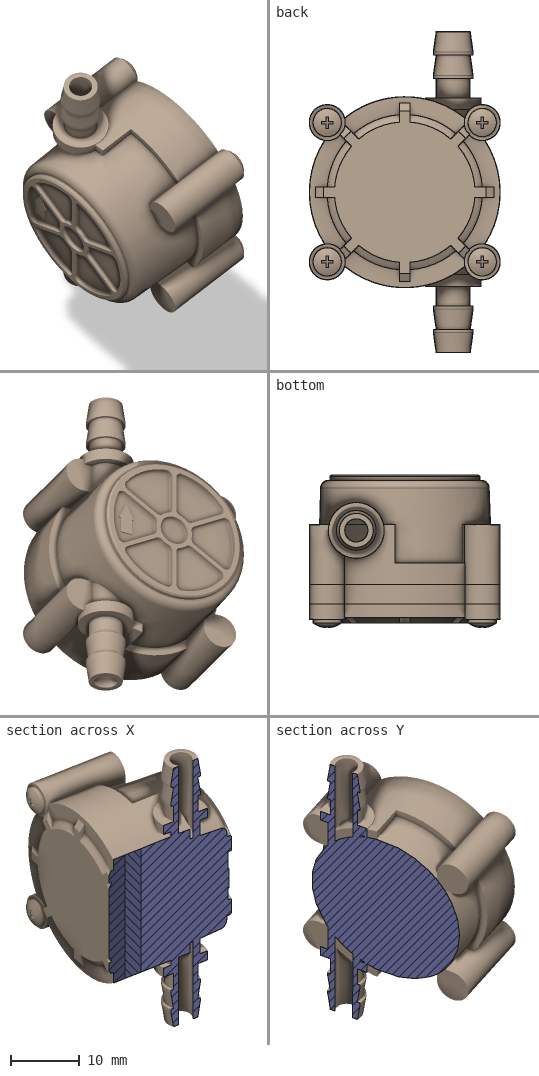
import cadquery as cq
import math


outer_width = 27.75
flange_radius = outer_width / 2
lug_radius = 2.6
lug_x = flange_radius - lug_radius
lug_z = 10.1
lug_inner_x = lug_x - lug_radius
lug_inner_z = lug_z - lug_radius

plate_back = 2.85
cover_back = 4.85
ear_back = 5.1
crown_back = 5.65
flange_front = -3.08
lug_front = -8.65
shell_front = -15.1
boss_front = -15.9

shell_rear_radius = 12.7
shell_front_radius = 12.2
shell_edge_fillet = 1.15
web_fillet = 0.15
boss_radius = 10.9
boss_chamfer = 0.25

pocket_depth = 0.65
pocket_floor_fillet = 0.3
pocket_corner = 0.85
sector_count = 6
sector_inner_radius = 2.9
sector_outer_radius = 9.95
spoke_half_width = 0.33
hub_pocket_radius = 2.25

arrow_x = -7.6
arrow_tip_z = 2.45
arrow_neck_z = 0.15
arrow_tail_z = -2.3
arrow_head_half = 1.2
arrow_shaft_half = 0.9
arrow_height = 0.2

port_x = -7.05
port_y = -7.85
port_root_radius = 2.85
port_root_z = 4.65
collar_radius = 4.05
collar_inner_z = 12.0
collar_outer_z = 13.7
neck_radius = 2.45
barb_radius = 2.9
barb_land = 0.45
barb_pitch = 3.4
port_tip_z = 23.3
barb_start_z = port_tip_z - 2 * barb_pitch
bore_radius = 1.7
shoulder_edge_x = -1.45

crown_base_radius = 11.3
crown_top_radius = 10.2
rib_base_radius = 12.95
rib_top_radius = 11.8
rib_width = 1.5
rib_count = 8

head_radius = 2.05
head_rim_height = 0.5
head_top = 6.3
cross_length = 1.7
cross_width = 0.35
cross_depth = 0.45

lug_centers = [(sx * lug_x, sz * lug_z) for sx in (-1, 1) for sz in (-1, 1)]


def disc(radius, y_front, y_back):
    """Plain cylinder about the pump axis."""
    return cq.Workplane("XZ", origin=(0, y_back, 0)).circle(radius).extrude(y_back - y_front)


def lug_cylinders(y_front, y_back):
    """The four round screw lugs between two levels."""
    start = cq.Workplane("XZ", origin=(0, y_back, 0))
    return start.pushPoints(lug_centers).circle(lug_radius).extrude(y_back - y_front)


def box_between(x_range, y_range, z_range):
    """Axis-aligned box from its limits."""
    sizes = [high - low for low, high in (x_range, y_range, z_range)]
    corner = (x_range[0], y_range[0], z_range[0])
    return cq.Workplane("XY").box(*sizes, centered=False).translate(corner)


def cone_disc(base_radius, top_radius):
    """Cone frustum of the cover crown, from the cover back to the crown back."""
    profile = [(0, cover_back), (base_radius, cover_back), (top_radius, crown_back), (0, crown_back)]
    return cq.Workplane("XY").polyline(profile).close().revolve(360, (0, 0), (0, 1))


def make_shell():
    """Tapered round shell with a rounded front edge and the front boss."""
    profile = [
        (0, 0),
        (shell_rear_radius, 0),
        (shell_rear_radius, flange_front),
        (shell_front_radius, shell_front),
        (0, shell_front),
    ]
    shell = cq.Workplane("XY").polyline(profile).close().revolve(360, (0, 0), (0, 1))
    shell = shell.faces("<Y").edges().fillet(shell_edge_fillet)
    boss = disc(boss_radius, boss_front, shell_front)
    boss = boss.faces("<Y").edges().chamfer(boss_chamfer)
    return shell.union(boss)


def make_lug_webs():
    """Square webs that join each lug to the shell along the length of the lug."""
    webs = cq.Workplane("XY")
    for x, z in lug_centers:
        x_range = sorted((x, x - math.copysign(lug_radius, x)))
        z_range = sorted((z, z - math.copysign(lug_radius, z)))
        webs = webs.union(box_between(x_range, (lug_front, 0), z_range))
    return webs


def make_port_shoulders():
    """Parts of the flange rim that run forward beside the two ports."""
    z_ranges = [(lug_inner_z, flange_radius), (-flange_radius, -lug_inner_z)]
    rim = disc(flange_radius, lug_front, 0)
    blocks = cq.Workplane("XY")
    for z_range in z_ranges:
        blocks = blocks.union(box_between((-lug_x, shoulder_edge_x), (lug_front, 0), z_range))
    return rim.intersect(blocks)


def make_port():
    """Upper port: root, collar and a double hose barb."""
    profile = [
        (0, port_root_z),
        (port_root_radius, port_root_z),
        (port_root_radius, collar_inner_z),
        (collar_radius, collar_inner_z),
        (collar_radius, collar_outer_z),
        (neck_radius, collar_outer_z),
        (neck_radius, barb_start_z),
    ]
    for barb_z in (barb_start_z, barb_start_z + barb_pitch):
        profile += [
            (barb_radius, barb_z),
            (barb_radius, barb_z + barb_land),
            (neck_radius, barb_z + barb_pitch),
        ]
    profile.append((0, port_tip_z))
    port = cq.Workplane("XZ").polyline(profile).close().revolve(360, (0, 0), (0, 1))
    return port.translate((port_x, port_y, 0))


def make_port_bore():
    """Bore of the upper port."""
    start = cq.Workplane("XY", origin=(port_x, port_y, port_root_z))
    return start.circle(bore_radius).extrude(port_tip_z - port_root_z)


def make_sector_pocket():
    """Pocket between two spokes, with round corners and a round floor edge."""
    half_angle = math.pi / sector_count

    def corner(radius, side):
        angle = side * (half_angle - math.asin(spoke_half_width / radius))
        return (radius * math.cos(angle), radius * math.sin(angle))

    pocket = (
        cq.Workplane("XZ", origin=(0, boss_front + pocket_depth, 0))
        .moveTo(*corner(sector_inner_radius, -1))
        .lineTo(*corner(sector_outer_radius, -1))
        .threePointArc((sector_outer_radius, 0), corner(sector_outer_radius, 1))
        .lineTo(*corner(sector_inner_radius, 1))
        .threePointArc((sector_inner_radius, 0), corner(sector_inner_radius, -1))
        .close()
        .extrude(pocket_depth)
    )
    pocket = pocket.edges("|Y").fillet(pocket_corner)
    return pocket.faces(">Y").edges().fillet(pocket_floor_fillet)


def make_arrow():
    """Raised arrow on the floor of the pocket on the port side."""
    outline = [
        (arrow_x, arrow_tip_z),
        (arrow_x + arrow_head_half, arrow_neck_z),
        (arrow_x + arrow_shaft_half, arrow_neck_z),
        (arrow_x + arrow_shaft_half, arrow_tail_z),
        (arrow_x - arrow_shaft_half, arrow_tail_z),
        (arrow_x - arrow_shaft_half, arrow_neck_z),
        (arrow_x - arrow_head_half, arrow_neck_z),
    ]
    start = cq.Workplane("XZ", origin=(0, boss_front + pocket_depth, 0))
    return start.polyline(outline).close().extrude(arrow_height)


def make_hub_pocket():
    """Round pocket at the middle of the spokes."""
    pocket = disc(hub_pocket_radius, boss_front, boss_front + pocket_depth)
    return pocket.faces(">Y").edges().fillet(pocket_floor_fillet)


def is_web_corner(edge):
    """True for a long edge where the side of a lug web meets the shell."""
    middle = edge.Center()
    along_web = lug_front + web_fillet < middle.y < flange_front
    on_shell = shell_front_radius < math.hypot(middle.x, middle.z) < shell_rear_radius
    beside_web = abs(middle.x) > lug_inner_x - web_fillet and abs(middle.z) > lug_inner_z - web_fillet
    return along_web and on_shell and beside_web


def make_housing():
    """Housing: shell, flange, lugs and ports in one piece."""
    core = make_shell()
    core = core.union(disc(flange_radius, flange_front, 0))
    core = core.union(lug_cylinders(lug_front, 0))
    core = core.union(make_lug_webs())
    core = core.union(make_port_shoulders())
    web_corners = [edge for edge in core.edges().vals() if is_web_corner(edge)]
    core = core.newObject(web_corners).fillet(web_fillet)

    port = make_port()
    bore = make_port_bore()
    hollow_port = port.cut(bore)
    housing = core.union(hollow_port).union(hollow_port.mirror("XY"))

    sector = make_sector_pocket()
    for index in range(sector_count):
        angle = index * 360 / sector_count
        housing = housing.cut(sector.rotate((0, 0, 0), (0, 1, 0), angle))
    housing = housing.cut(make_hub_pocket())
    return housing.union(make_arrow())


def make_plate():
    """Middle plate with four ears."""
    return disc(flange_radius, 0, plate_back).union(lug_cylinders(0, plate_back))


def make_cover():
    """Back cover with raised ears and a ribbed conical crown."""
    cover = disc(flange_radius, plate_back, cover_back)
    cover = cover.union(lug_cylinders(plate_back, ear_back))
    cover = cover.union(cone_disc(crown_base_radius, crown_top_radius))
    bar = box_between(
        (-rib_base_radius, rib_base_radius),
        (cover_back, crown_back),
        (-rib_width / 2, rib_width / 2),
    )
    rib_pair = cone_disc(rib_base_radius, rib_top_radius).intersect(bar)
    for index in range(rib_count // 2):
        angle = index * 360 / rib_count
        cover = cover.union(rib_pair.rotate((0, 0, 0), (0, 1, 0), angle))
    return cover


def make_screw(x, z):
    """Domed screw head with a cross recess, seated on a cover ear."""
    rim_top = ear_back + head_rim_height
    sphere_rise = head_top - rim_top
    sphere_radius = (head_radius**2 + sphere_rise**2) / (2 * sphere_rise)
    mid_radius = head_radius / 2
    mid_y = head_top - sphere_radius + math.sqrt(sphere_radius**2 - mid_radius**2)
    head = (
        cq.Workplane("XY")
        .moveTo(0, ear_back)
        .lineTo(head_radius, ear_back)
        .lineTo(head_radius, rim_top)
        .threePointArc((mid_radius, mid_y), (0, head_top))
        .close()
        .revolve(360, (0, 0), (0, 1))
    )
    start = cq.Workplane("XZ", origin=(0, head_top, 0))
    for size in ((cross_length, cross_width), (cross_width, cross_length)):
        head = head.cut(start.rect(*size).extrude(cross_depth))
    return head.translate((x, 0, z))


housing = make_housing()
plate = make_plate()
cover = make_cover()
screws = [make_screw(x, z) for x, z in lug_centers]

result = cq.Compound.makeCompound(
    [housing.val(), plate.val(), cover.val(), *[screw.val() for screw in screws]]
)